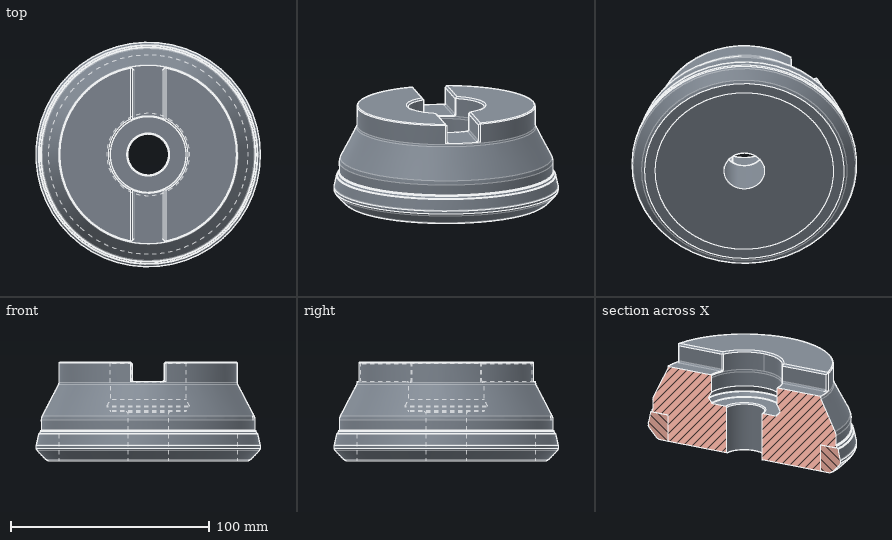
import cadquery as cq
import math

height = 50.0
boss_radius = 90.0 / 2
collar_radius = 107.91 / 2
ring_radius = 113.34 / 2

boss_rim_chamfer = 0.5
cone_top_z = 39.1
cone_bottom_z = 21.85
boss_root_fillet = 2.2
shoulder_fillet = 4.5
foot_top_z = 15.7
foot_lip_radius = 54.3
foot_lip_top_z = 15.4
foot_lip_bottom_z = 15.0
foot_radius = 55.0

ring_top_z = 13.95
ring_top_radius = 55.1
upper_slope_top = (55.35, 13.6)
upper_slope_bottom = (56.5, 8.25)
rim_top_z = 7.85
rim_bottom_z = 6.4
lower_slope_top = (56.05, 5.25)
lower_slope_bottom = (51.8, 0.85)
ring_bottom_radius = 50.3
hub_radius = boss_radius

mouth_radius = 38.3 / 2
bore_radius = 38.11 / 2
hole_radius = 20.5 / 2
mouth_chamfer = 0.9
hole_chamfer = 0.6
mouth_bottom_z = 39.8
bore_top_z = 38.6
bore_floor_z = 25.0

undercut_top_z = 31.1
undercut_radius = 20.85
undercut_mid_z = 27.6
undercut_flat = 0.4
undercut_bottom_z = 25.4

slot_half_width = 8.0
slot_floor_z = 40.2
slot_edge_chamfer = 1.0
slot_floor_fillet = 0.8
bore_edge_chamfer = 0.4

select_margin = 0.1


def revolve_about_z(profile):
    return profile.close().revolve(360, (0, 0, 0), (0, 1, 0))


def edges_in_box(half_x, half_y, low_z, high_z):
    return cq.selectors.BoxSelector(
        (-half_x - select_margin, -half_y - select_margin, low_z - select_margin),
        (half_x + select_margin, half_y + select_margin, high_z + select_margin),
    )


def body_blank():
    profile = (
        cq.Workplane("XZ")
        .lineTo(hub_radius, 0)
        .lineTo(hub_radius, ring_top_z)
        .lineTo(foot_radius, ring_top_z)
        .lineTo(foot_lip_radius, foot_lip_bottom_z)
        .lineTo(foot_lip_radius, foot_lip_top_z)
        .lineTo(collar_radius, foot_top_z)
        .lineTo(collar_radius, cone_bottom_z)
        .lineTo(boss_radius, cone_top_z)
        .lineTo(boss_radius, height)
        .lineTo(0, height)
    )
    blank = revolve_about_z(profile)
    root = edges_in_box(boss_radius, boss_radius, cone_top_z, cone_top_z)
    blank = blank.edges(root).fillet(boss_root_fillet)
    shoulder = edges_in_box(collar_radius, collar_radius, cone_bottom_z, cone_bottom_z)
    return blank.edges(shoulder).fillet(shoulder_fillet)


def bore_cutter():
    profile = (
        cq.Workplane("XZ")
        .lineTo(hole_radius, 0)
        .lineTo(hole_radius, bore_floor_z - hole_chamfer)
        .lineTo(hole_radius + hole_chamfer, bore_floor_z)
        .lineTo(bore_radius, bore_floor_z)
        .lineTo(bore_radius, undercut_bottom_z)
        .lineTo(undercut_radius, undercut_mid_z - undercut_flat / 2)
        .lineTo(undercut_radius, undercut_mid_z + undercut_flat / 2)
        .lineTo(bore_radius, undercut_top_z)
        .lineTo(bore_radius, bore_top_z)
        .lineTo(mouth_radius, mouth_bottom_z)
        .lineTo(mouth_radius, height - mouth_chamfer)
        .lineTo(mouth_radius + mouth_chamfer, height)
        .lineTo(0, height)
    )
    return revolve_about_z(profile)


def cut_drive_slot(body):
    slot = (
        cq.Workplane("XY", origin=(0, 0, slot_floor_z))
        .rect(2 * slot_half_width, 4 * boss_radius)
        .extrude(height - slot_floor_z)
    )
    body = body.cut(slot)
    wall_edges = edges_in_box(slot_half_width, boss_radius, slot_floor_z + slot_floor_fillet, height)
    body = body.edges("|Y or |Z").edges(wall_edges).chamfer(slot_edge_chamfer)
    floor_edges = edges_in_box(slot_half_width, boss_radius, slot_floor_z, slot_floor_z)
    return body.edges("|Y").edges(floor_edges).fillet(slot_floor_fillet)


def rim_cutter():
    profile = (
        cq.Workplane("XZ")
        .moveTo(boss_radius - boss_rim_chamfer, height)
        .lineTo(boss_radius, height - boss_rim_chamfer)
        .lineTo(boss_radius, height)
    )
    return revolve_about_z(profile)


def break_bore_edges(body):
    corner_y = math.sqrt(mouth_radius**2 - slot_half_width**2)
    corners = edges_in_box(slot_half_width, corner_y, slot_floor_z, height)
    return body.edges("|Z").edges(corners).chamfer(bore_edge_chamfer)


def cutting_ring():
    profile = (
        cq.Workplane("XZ")
        .moveTo(hub_radius, 0)
        .lineTo(ring_bottom_radius, 0)
        .lineTo(*lower_slope_bottom)
        .lineTo(*lower_slope_top)
        .lineTo(ring_radius, rim_bottom_z)
        .lineTo(ring_radius, rim_top_z)
        .lineTo(*upper_slope_bottom)
        .lineTo(*upper_slope_top)
        .lineTo(ring_top_radius, ring_top_z)
        .lineTo(hub_radius, ring_top_z)
    )
    return revolve_about_z(profile)


body = cut_drive_slot(body_blank()).cut(rim_cutter()).cut(bore_cutter())
body = break_bore_edges(body)
ring = cutting_ring()
result = cq.Compound.makeCompound([body.val(), ring.val()])